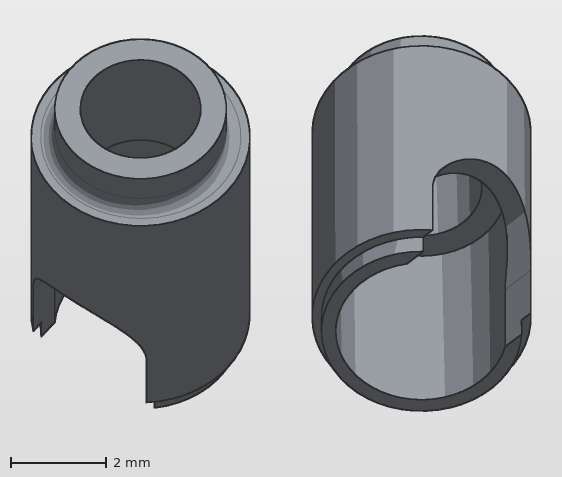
import cadquery as cq

total_height = 7.9
body_diameter = 4.6
neck_diameter = 3.6
neck_height = 1.0
neck_fillet = 0.3

rim_diameter = 4.2
rim_height = 0.5

bore_diameter = 2.53
lower_bore_diameter = neck_diameter
lower_bore_depth = 5.0

window_width = 3.0
window_height = 3.5

shoulder_z = total_height - neck_height


def cylinder(diameter, bottom, top):
    """Solid cylinder on the Z axis between two heights."""
    return cq.Workplane("XY").workplane(offset=bottom).circle(diameter / 2).extrude(top - bottom)


def make_outside():
    """Rim, body and neck, with a concave fillet at the foot of the neck."""
    rim = cylinder(rim_diameter, 0, rim_height)
    body = cylinder(body_diameter, rim_height, shoulder_z)
    neck_radius = neck_diameter / 2
    fillet_foot = neck_radius + neck_fillet
    fillet_top = shoulder_z + neck_fillet
    arc_offset = neck_fillet * (1 - 0.5 ** 0.5)
    neck = (
        cq.Workplane("XZ")
        .moveTo(0, shoulder_z)
        .lineTo(fillet_foot, shoulder_z)
        .threePointArc((neck_radius + arc_offset, shoulder_z + arc_offset), (neck_radius, fillet_top))
        .lineTo(neck_radius, total_height)
        .lineTo(0, total_height)
        .close()
        .revolve(360, (0, 0, 0), (0, 1, 0))
    )
    return rim.union(body).union(neck)


def make_window():
    """Cutter from the axis out through the -Y wall, open at the bottom."""
    half_width = window_width / 2
    spring_z = window_height - half_width
    return (
        cq.Workplane("XZ")
        .moveTo(-half_width, 0)
        .lineTo(half_width, 0)
        .lineTo(half_width, spring_z)
        .threePointArc((0, window_height), (-half_width, spring_z))
        .close()
        .extrude(body_diameter)
    )


bore = cylinder(bore_diameter, 0, total_height)
lower_bore = cylinder(lower_bore_diameter, 0, lower_bore_depth)

result = make_outside().cut(bore).cut(lower_bore).cut(make_window())